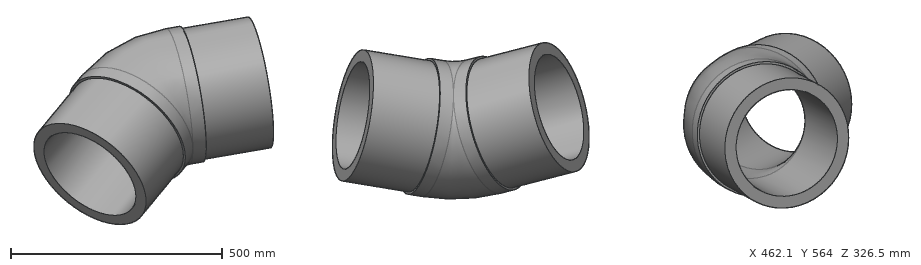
import cadquery as cq
import math

overall_length = 564.0
bend_angle = 45.0
pipe_diameter = 315.0
bend_diameter = 326.5
bore_diameter = 257.5
outer_bend_radius = 163.5
bore_bend_radius = 129.0
collar_length = 32.5

bend_sin = math.sin(math.radians(bend_angle))
bend_cos = math.cos(math.radians(bend_angle))
leg_length = (overall_length - (outer_bend_radius + pipe_diameter / 2) * bend_sin) / (1 + bend_cos)

half_angle_tan = math.tan(math.radians(bend_angle / 2))
corner_y = outer_bend_radius * half_angle_tan

bore_bend_start = corner_y - bore_bend_radius * half_angle_tan


def straight_leg(diameter, start_y, length):
    """Cylinder on the inlet axis, running from start_y toward -Y."""
    return cq.Workplane("XZ", origin=(0, start_y, 0)).circle(diameter / 2).extrude(length)


def bend(diameter, radius, start_y):
    """Circular section at start_y swept around a Z axis at X = radius."""
    section = cq.Workplane("XZ", origin=(0, start_y, 0)).circle(diameter / 2)
    return section.revolve(bend_angle, (radius, 5.5, 0), (radius, -5.5, 0))


def to_outlet(leg):
    """Turn an inlet leg around the crossing of the leg axes to the outlet side."""
    mirrored = leg.mirror("XZ", (0, corner_y, 0))
    return mirrored.rotate((0, corner_y, 0), (0, corner_y, 1), -bend_angle)


pipe_leg = straight_leg(pipe_diameter, 0, leg_length)
outer_leg = pipe_leg.union(straight_leg(bend_diameter, 0, collar_length))
outer_bend = bend(bend_diameter, outer_bend_radius, 0)
body = outer_bend.union(outer_leg).union(to_outlet(outer_leg))

bore_leg = straight_leg(bore_diameter, bore_bend_start, leg_length + bore_bend_start)
bore_bend = bend(bore_diameter, bore_bend_radius, bore_bend_start)
result = body.cut(bore_bend).cut(bore_leg).cut(to_outlet(bore_leg))